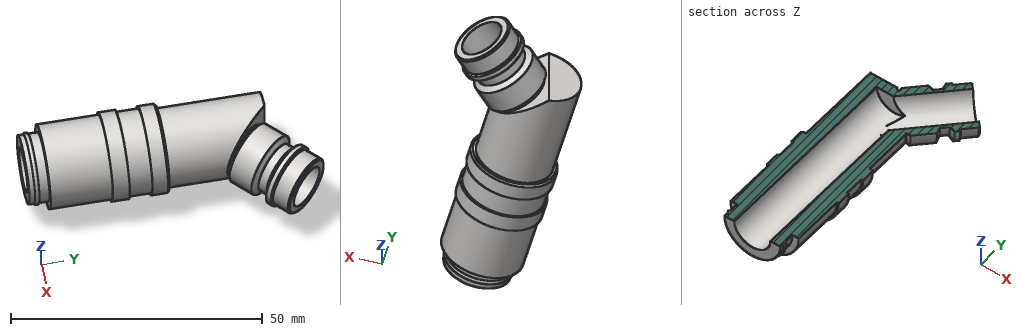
import cadquery as cq

barrel_length = 49.0
spigot_radius = 7.0
spigot_length = 4.0
bead_radius = 7.3
bead_start = 1.1
bead_end = 2.0
body_radius = 8.55
band_radius = 9.0
lower_band_start = 16.5
lower_band_end = 19.9
upper_band_start = 24.5
upper_band_end = 28.0
band_chamfer = 0.4
neck_radius = 8.0

branch_angle = 45.0
branch_origin_y = 40.52
seat_offset = 5.1
seat_neck_length = 0.15
collar_radius = 6.7
collar_start = 6.0
collar_end = 11.25
groove_radius = 5.4
flank_length = 0.8
tip_ring_start = 14.8
tip_ring_end = 15.9
tip_start = 16.15
tip_radius = 6.25
tip_end = 20.0
tip_chamfer = 0.3

bore_radius = 4.5
barrel_bore_depth = 46.55


def turned_barrel():
    """Stepped barrel with a round bead on the spigot and two bands on the body."""
    bead_middle = (bead_start + bead_end) / 2
    profile = (
        cq.Workplane("XY")
        .lineTo(spigot_radius, 0)
        .lineTo(spigot_radius, bead_start)
        .threePointArc((bead_radius, bead_middle), (spigot_radius, bead_end))
        .lineTo(spigot_radius, spigot_length)
        .lineTo(body_radius, spigot_length)
        .lineTo(body_radius, lower_band_start)
        .lineTo(band_radius, lower_band_start)
        .lineTo(band_radius, lower_band_end)
        .lineTo(body_radius, lower_band_end)
        .lineTo(body_radius, upper_band_start)
        .lineTo(band_radius, upper_band_start)
        .lineTo(band_radius, upper_band_end - band_chamfer)
        .lineTo(band_radius - band_chamfer, upper_band_end)
        .lineTo(neck_radius, upper_band_end)
        .lineTo(neck_radius, barrel_length)
        .lineTo(0, barrel_length)
        .close()
    )
    return profile.revolve(360, (0, 0, 0), (0, 1, 0))


def place_on_branch(shape):
    """Move a shape built along +Y onto the branch axis."""
    turned = shape.rotate((0, 0, 0), (0, 0, 1), -branch_angle)
    return turned.translate((0, branch_origin_y, 0))


def seat_cutter():
    """Block that removes the barrel beyond the slanted seat of the branch."""
    size = 2 * barrel_length
    block = cq.Workplane("XY").box(size, size, size).translate((0, seat_offset + size / 2, 0))
    return place_on_branch(block)


def turned_branch():
    """Short neck, collar, groove, ring and tip of the branch, with sloping flanks between them."""
    seat_neck_end = seat_offset + seat_neck_length
    seat_radius = collar_radius - (collar_start - seat_neck_end)
    groove_start = collar_end + flank_length
    groove_end = tip_ring_start - flank_length
    profile = (
        cq.Workplane("XY")
        .moveTo(0, seat_offset)
        .lineTo(seat_radius, seat_offset)
        .lineTo(seat_radius, seat_neck_end)
        .lineTo(collar_radius, collar_start)
        .lineTo(collar_radius, collar_end)
        .lineTo(groove_radius, groove_start)
        .lineTo(groove_radius, groove_end)
        .lineTo(collar_radius, tip_ring_start)
        .lineTo(collar_radius, tip_ring_end)
        .lineTo(tip_radius, tip_start)
        .lineTo(tip_radius, tip_end - tip_chamfer)
        .lineTo(tip_radius - tip_chamfer, tip_end)
        .lineTo(0, tip_end)
        .close()
    )
    return place_on_branch(profile.revolve(360, (0, 0, 0), (0, 1, 0)))


def bore(depth):
    """Round bore along +Y from the origin."""
    return cq.Workplane("XZ").circle(bore_radius).extrude(-depth)


barrel_bore = bore(barrel_bore_depth)
branch_bore = place_on_branch(bore(tip_end))
outer = turned_barrel().cut(seat_cutter()).union(turned_branch())
result = outer.cut(barrel_bore).cut(branch_bore)